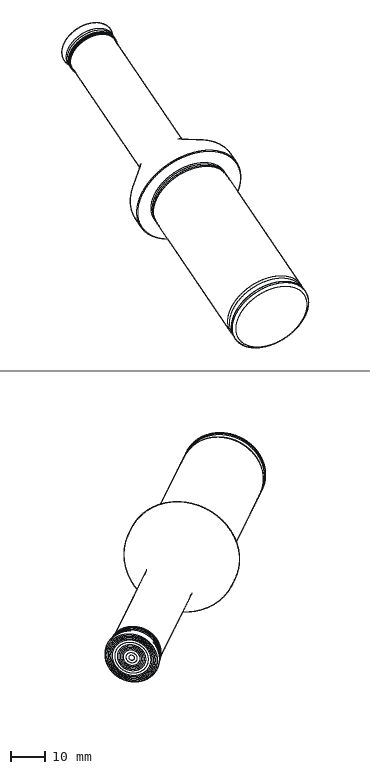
import cadquery as cq
import math

length = 126.0

tip_length = 5.0
tip_radius = 7.8
bead_radius = 8.2
bead_round_middle = (0.3, 8.1)
bead_crest_x = 1.1
rim_start = 1.9
rim_fine_start = 4.2
rim_scallop_count = 3
scallop_depth = 0.06
face_bands = [(2.5, 3), (4.3, 4), (5.8, 2), (tip_radius, 5)]

neck_radius = 15.0 / 2
collar_radius = 34.0 / 2
shank_radius = 25.0 / 2
groove_radius = 24.5 / 2
cone_start = 53.0
cone_end = 65.0
neck_fillet = 5.0
collar_fillet = 3.2
collar_back = 70.0
collar_chamfer = 0.3
undercut_start = 70.4
undercut_end = 71.1
undercut_runout = 71.8
end_groove_start = 122.2
end_groove_end = 124.7
groove_lead_in = 0.8
groove_lead_out = 0.3
end_chamfer_length = 0.6
end_chamfer_depth = 0.9


def revolve_about_x(profile):
    """Close a half profile along the axis and turn it into a solid."""
    return profile.close().revolve(360, (0, 0, 0), (1, 0, 0))


def face_scallops(profile):
    """Shallow concentric grooves across the flat front, fine and coarse bands in turn."""
    inner_radius = 0
    for outer_radius, count in face_bands:
        pitch = (outer_radius - inner_radius) / count
        for ring in range(count):
            middle = inner_radius + (ring + 0.5) * pitch
            ring_end = inner_radius + (ring + 1) * pitch
            profile = profile.threePointArc((scallop_depth, middle), (0, ring_end))
        inner_radius = outer_radius
    return profile


def rim_scallops(profile, start, end):
    """Shallow grooves side by side around the rim."""
    pitch = (end - start) / rim_scallop_count
    for groove in range(rim_scallop_count):
        middle = start + (groove + 0.5) * pitch
        groove_end = start + (groove + 1) * pitch
        profile = profile.threePointArc((middle, tip_radius - scallop_depth), (groove_end, tip_radius))
    return profile


def make_tip():
    profile = face_scallops(cq.Workplane("XY").moveTo(0, 0))
    profile = profile.threePointArc(bead_round_middle, (bead_crest_x, bead_radius))
    profile = profile.lineTo(rim_start, tip_radius)
    profile = rim_scallops(profile, rim_start, rim_fine_start)
    profile = rim_scallops(profile, rim_fine_start, tip_length)
    return revolve_about_x(profile.lineTo(tip_length, 0))


def make_holder():
    cone_angle = math.atan2(collar_radius - neck_radius, cone_end - cone_start)
    neck_tangent = neck_fillet * math.tan(cone_angle / 2)
    collar_tangent = collar_fillet * math.tan(cone_angle / 2)
    along = math.cos(cone_angle)
    outward = math.sin(cone_angle)
    half_along = math.cos(cone_angle / 2)
    half_outward = math.sin(cone_angle / 2)

    neck_arc_start = cone_start - neck_tangent
    neck_arc_middle = (
        neck_arc_start + neck_fillet * half_outward,
        neck_radius + neck_fillet * (1 - half_along),
    )
    neck_arc_end = (cone_start + neck_tangent * along, neck_radius + neck_tangent * outward)

    collar_arc_start = (cone_end - collar_tangent * along, collar_radius - collar_tangent * outward)
    collar_arc_end = cone_end + collar_tangent
    collar_arc_middle = (
        collar_arc_end - collar_fillet * half_outward,
        collar_radius - collar_fillet * (1 - half_along),
    )

    profile = (
        cq.Workplane("XY")
        .moveTo(tip_length, 0)
        .lineTo(tip_length, neck_radius)
        .lineTo(neck_arc_start, neck_radius)
        .threePointArc(neck_arc_middle, neck_arc_end)
        .lineTo(*collar_arc_start)
        .threePointArc(collar_arc_middle, (collar_arc_end, collar_radius))
        .lineTo(collar_back - collar_chamfer, collar_radius)
        .lineTo(collar_back, collar_radius - collar_chamfer)
        .lineTo(collar_back, shank_radius)
        .lineTo(undercut_start, groove_radius)
        .lineTo(undercut_end, groove_radius)
        .lineTo(undercut_runout, shank_radius)
        .lineTo(end_groove_start, shank_radius)
        .lineTo(end_groove_start + groove_lead_in, groove_radius)
        .lineTo(end_groove_end - groove_lead_out, groove_radius)
        .lineTo(end_groove_end, shank_radius)
        .lineTo(length - end_chamfer_length, shank_radius)
        .lineTo(length, shank_radius - end_chamfer_depth)
        .lineTo(length, 0)
    )
    return revolve_about_x(profile)


tip = make_tip()
holder = make_holder()
result = cq.Compound.makeCompound([tip.val(), holder.val()])